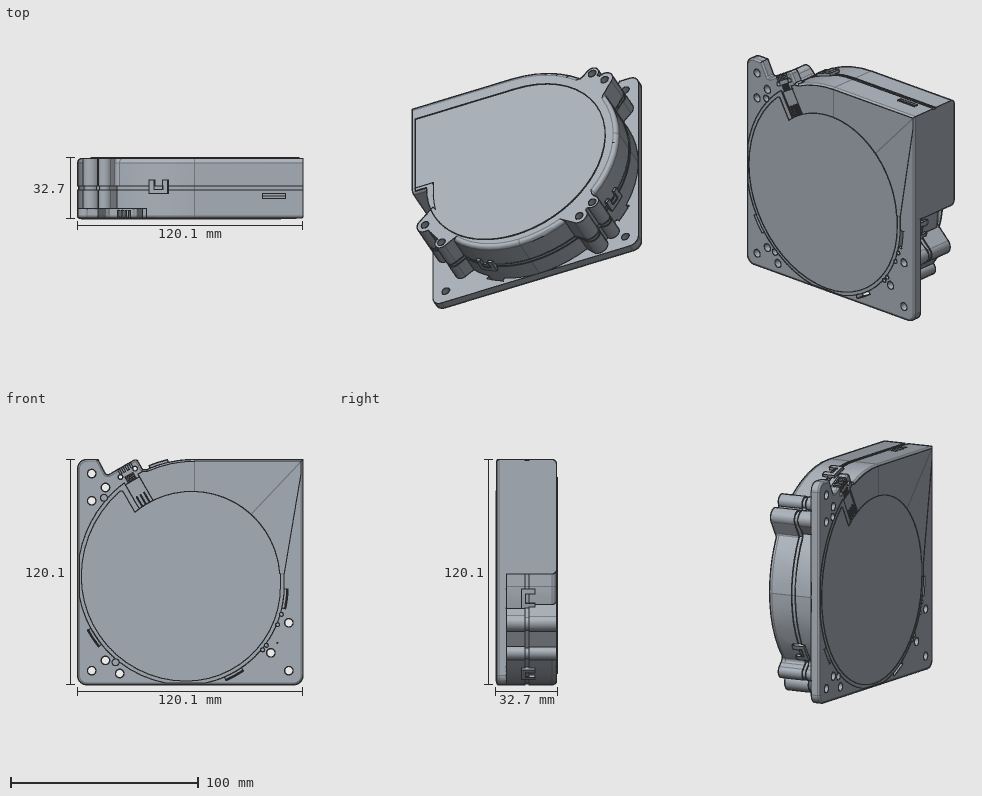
import cadquery as cq
import math

HALF = 60.065
DEPTH = 32.67

DISC_Y = 0.0
SCROLL_FRONT_Y = 0.2
FLANGE_FRONT_Y = 0.4
FLANGE_BACK_Y = 5.4
SEAM_FRONT_Y = 15.4
SEAM_BACK_Y = 17.6
BODY_BACK_Y = 32.2

FLANGE_CORNER_R = 5.0
FRONT_EDGE_R = 1.0
BACK_EDGE_R = 2.5
SEAM_DEPTH = 0.6

NOTCH_TOP_X = -49.2
NOTCH_LEFT_X = -45.0
NOTCH_Z = 52.0
NOTCH_R = 1.0
SHOULDER_Z = 54.6

SCROLL_SHIFT = 2.3
SCROLL_RIGHT_X = 50.0
R_TOP = HALF + SCROLL_SHIFT
R_LEFT = HALF - SCROLL_SHIFT
R_BOTTOM = SCROLL_RIGHT_X + SCROLL_SHIFT
C_TOP = (SCROLL_SHIFT, -SCROLL_SHIFT)
C_LEFT = (-SCROLL_SHIFT, -SCROLL_SHIFT)
C_BOTTOM = (-SCROLL_SHIFT, R_BOTTOM - HALF)
OUTLET_FLOOR_Z = -1.0

FACET_DROP = 0.15
FACET_RIGHT_Z = 53.0

DISC_INSET = 2.0
DISC_ARC_C = (0.8, -3.9)
DISC_ARC_R = 46.9
DISC_ARC_START = 4.0
DISC_ARC_MID = 60.0
LOBE_TIP_R = 1.2

PAD_C = (-0.75, -1.75)
PAD_R = 52.25
PAD_RIGHT_X = 58.0

BLOCK_C = (-33.3, 52.9)
BLOCK_ANGLE = 30.0
BLOCK_EDGE_V = 4.2
BLOCK_RIGHT_U = 7.7
BLOCK_CORNER_R = 1.5
BLOCK_INNER_V = -4.9
BLOCK_HOLE_U = 4.5
BLOCK_HOLE_D = 2.4
WIRE_COUNT = 4
WIRE_PITCH = 2.27
COMB_SLOT_W = 1.1
COMB_SLOT_DEPTH = 4.0
OUTER_COMB_V = 1.2
INNER_COMB_V = -1.2
INNER_COMB_PITCH = 1.4
INNER_COMB_SLOT_W = 0.7
INNER_COMB_DEPTH = 2.0
CHANNEL_HALF_W = 4.3
CHANNEL_DEPTH = 0.8
CHANNEL_END_V = -20.0
RIB_W = 0.5
RIB_OUTER_V = -13.4
LOBE_EDGE_U = -7.2

HOLE_D = 4.4
MOUNT_HALF = 52.5
PLAIN_HOLES = [(-MOUNT_HALF, MOUNT_HALF), (-MOUNT_HALF, -MOUNT_HALF), (MOUNT_HALF, -MOUNT_HALF)]
INNER_BOSS_R = 3.8
OUTER_BOSS_R = 4.7
WEB_LENGTH = 11.0
WEB_BACK_FLARE = 13.0
INNER_FOOT_R = 2.0
OUTER_FOOT_R = 0.8
UPPER_LEFT_PAIR = [(-45.2, 45.1), (-52.5, 38.0)]
LOWER_LEFT_PAIR = [(-45.2, -47.0), (-37.6, -54.0)]
LOWER_RIGHT_PAIR = [(42.9, -43.0), (52.5, -27.0)]
BOSS_PAIRS = [UPPER_LEFT_PAIR, LOWER_LEFT_PAIR, LOWER_RIGHT_PAIR]

PIN_HOLE_D = 3.7
PIN_HOLE_DEPTH = 4.0
PIN_HOLES = [(-46.0, 39.6), (-39.8, -48.0)]
DIMPLE_D = 2.1
DIMPLE_DEPTH = 2.0
DIMPLES = [(48.5, -22.5), (46.5, -28.0), (40.5, -39.0), (38.5, -41.4)]

CLIPS = [
    (C_TOP, R_TOP, 107.7),
    (C_LEFT, R_LEFT, 213.7),
    (C_BOTTOM, R_BOTTOM, -61.3),
    (C_BOTTOM, R_BOTTOM, -6.9),
]
CLIP_LENGTH = 10.2
CLIP_ARM_W = 2.7
CLIP_T = 1.5
CLIP_FRONT_Y = 13.4
CLIP_BAR_BACK_Y = 15.7
CLIP_BACK_Y = 20.7
CATCH_T = 0.9
CLIP_SLOT_W = 2.0
CLIP_ROOT = 1.0

POCKET_X = (38.5, 50.6)
POCKET_Y = (10.9, 13.6)
POCKET_DEPTHS = (2.0, 1.0)


def plane_at(y):
    return cq.Workplane("XZ", origin=(0, y, 0))


def slab(sketch, y_front, y_back):
    """Extrude a closed outline drawn on plane_at(y_front) back to y_back."""
    return sketch.extrude(y_front - y_back)


def cylinder(centre, radius, y_front, y_back):
    return slab(plane_at(y_front).moveTo(*centre).circle(radius), y_front, y_back)


def polar(centre, radius, degrees):
    angle = math.radians(degrees)
    return (centre[0] + radius * math.cos(angle), centre[1] + radius * math.sin(angle))


def sector(centre, r_in, r_out, a_start, a_end, y_front, y_back):
    a_mid = (a_start + a_end) / 2
    sketch = (
        plane_at(y_front)
        .moveTo(*polar(centre, r_in, a_start))
        .threePointArc(polar(centre, r_in, a_mid), polar(centre, r_in, a_end))
        .lineTo(*polar(centre, r_out, a_end))
        .threePointArc(polar(centre, r_out, a_mid), polar(centre, r_out, a_start))
        .close()
    )
    return slab(sketch, y_front, y_back)


def block_point(u, v):
    angle = math.radians(BLOCK_ANGLE)
    x = BLOCK_C[0] + u * math.cos(angle) - v * math.sin(angle)
    z = BLOCK_C[1] + u * math.sin(angle) + v * math.cos(angle)
    return (x, z)


def block_box(u0, u1, v0, v1, y_front, y_back):
    """Box aligned with the turned wire outlet block."""
    corners = [block_point(u, v) for u, v in ((u0, v0), (u1, v0), (u1, v1), (u0, v1))]
    return slab(plane_at(y_front).polyline(corners).close(), y_front, y_back)


def scroll_arcs(y, inset):
    """Scroll outline from its top round the left and bottom to its right side, left open."""
    r_top, r_left, r_bottom = (r - inset for r in (R_TOP, R_LEFT, R_BOTTOM))
    return (
        plane_at(y)
        .moveTo(*polar(C_TOP, r_top, 90))
        .threePointArc(polar(C_TOP, r_top, 135), polar(C_TOP, r_top, 180))
        .threePointArc(polar(C_LEFT, r_left, 225), polar(C_LEFT, r_left, 270))
        .threePointArc(polar(C_BOTTOM, r_bottom, -45), polar(C_BOTTOM, r_bottom, 0))
    )


def scroll_outline(y, inset=0.0):
    """Scroll with its outlet duct running to +X."""
    return (
        scroll_arcs(y, inset)
        .lineTo(SCROLL_RIGHT_X - inset, OUTLET_FLOOR_Z)
        .lineTo(HALF, OUTLET_FLOOR_Z)
        .lineTo(HALF, HALF - inset)
        .close()
    )


def block_point_at_height(z, u=None, v=None):
    """Point at height z on the block-frame line of constant u, or of constant v."""
    angle = math.radians(BLOCK_ANGLE)
    rise = z - BLOCK_C[1]
    if u is None:
        return block_point((rise - v * math.cos(angle)) / math.sin(angle), v)
    return block_point(u, (rise - u * math.sin(angle)) / math.cos(angle))


NOTCH_LEFT = (NOTCH_LEFT_X, NOTCH_Z)
NOTCH_RIGHT = block_point_at_height(NOTCH_Z, v=BLOCK_EDGE_V)
BLOCK_CORNER = block_point(BLOCK_RIGHT_U, BLOCK_EDGE_V)


def flange_outline(y):
    """Square flange with a notch and the wire outlet block along its top edge."""
    straight = HALF - FLANGE_CORNER_R
    diagonal = straight + FLANGE_CORNER_R * math.sqrt(0.5)
    shoulder_x = C_TOP[0] - math.sqrt(R_TOP**2 - (SHOULDER_Z - C_TOP[1]) ** 2)
    join_angle = math.degrees(math.atan2(SHOULDER_Z - C_TOP[1], shoulder_x - C_TOP[0]))
    outline = (
        plane_at(y)
        .moveTo(-HALF, -straight)
        .lineTo(-HALF, straight)
        .threePointArc((-diagonal, diagonal), (-straight, HALF))
        .lineTo(NOTCH_TOP_X, HALF)
        .lineTo(*NOTCH_LEFT)
        .lineTo(*NOTCH_RIGHT)
        .lineTo(*BLOCK_CORNER)
        .lineTo(*block_point_at_height(SHOULDER_Z, u=BLOCK_RIGHT_U))
        .lineTo(shoulder_x, SHOULDER_Z)
    )
    return (
        outline
        .threePointArc(polar(C_TOP, R_TOP, (join_angle + 90) / 2), polar(C_TOP, R_TOP, 90))
        .lineTo(HALF, HALF)
        .lineTo(HALF, -straight)
        .threePointArc((diagonal, -diagonal), (straight, -HALF))
        .lineTo(-straight, -HALF)
        .threePointArc((-diagonal, -diagonal), (-HALF, -straight))
        .close()
    )


def scroll_layer(y_front, y_back, inset=0.0):
    return slab(scroll_outline(y_front, inset), y_front, y_back)


def round_edge(part, point, y, radius):
    """Fillet the edge along Y that lies nearest to an XZ point at level y."""
    nearest = cq.selectors.NearestToPointSelector((point[0], y, point[1]))
    return part.edges("|Y").edges(nearest).fillet(radius)


def turned(vector, degrees):
    angle = math.radians(degrees)
    x, z = vector
    return (x * math.cos(angle) - z * math.sin(angle), x * math.sin(angle) + z * math.cos(angle))


def web_sides(pair, inset, flare):
    """Both sides of a web as (boss point, scroll end point), tangent to the small and large boss."""
    (px, pz), (qx, qz) = pair
    gap = math.hypot(px - qx, pz - qz)
    along = ((px - qx) / gap, (pz - qz) / gap)
    turn = 90 if along[1] * px - along[0] * pz > 0 else -90
    sides = []
    for (x, z), radius, sign, angle in (
        ((px, pz), INNER_BOSS_R, 1, 0.0),
        ((qx, qz), OUTER_BOSS_R, -1, math.copysign(flare, turn)),
    ):
        out_x, out_z = turned(along, angle)
        in_x, in_z = turned((out_x, out_z), turn)
        reach = sign * (radius - inset)
        near = (x + reach * out_x, z + reach * out_z)
        far = (near[0] + WEB_LENGTH * in_x, near[1] + WEB_LENGTH * in_z)
        sides.append((near, far))
    return sides


def boss_layer(y_front, y_back, inset=0.0, flare=0.0):
    """Pairs of round mounting bosses, each pair tied to the scroll by a web."""
    layer = cq.Workplane()
    for pair in BOSS_PAIRS:
        (near_p, far_p), (near_q, far_q) = web_sides(pair, inset, flare)
        web = plane_at(y_front).polyline([near_p, near_q, far_q, far_p]).close()
        layer = layer.union(slab(web, y_front, y_back))
        for centre, radius in zip(pair, (INNER_BOSS_R, OUTER_BOSS_R)):
            layer = layer.union(cylinder(centre, radius - inset, y_front, y_back))
    return layer


def flange_plate(y_front, y_back):
    """Flange with its notch and block corners rounded."""
    plate = slab(flange_outline(y_front), y_front, y_back)
    y_mid = (y_front + y_back) / 2
    for corner, radius in (
        (NOTCH_LEFT, NOTCH_R),
        (NOTCH_RIGHT, NOTCH_R),
        (BLOCK_CORNER, BLOCK_CORNER_R),
    ):
        plate = round_edge(plate, corner, y_mid, radius)
    return plate


def flange():
    return flange_plate(FLANGE_FRONT_Y, FLANGE_BACK_Y).faces("<Y").edges().fillet(FRONT_EDGE_R)


def round_foot(part, side, y, radius):
    """Fillet the corner where one side of a web runs into the scroll."""
    (near_x, near_z), (far_x, far_z) = side
    return round_edge(part, ((near_x + far_x) / 2, (near_z + far_z) / 2), y, radius)


def front_half():
    front = scroll_layer(FLANGE_BACK_Y, SEAM_FRONT_Y).union(boss_layer(FLANGE_BACK_Y, SEAM_FRONT_Y))
    inner_side = web_sides(LOWER_LEFT_PAIR, 0.0, 0.0)[0]
    return round_foot(front, inner_side, (FLANGE_BACK_Y + SEAM_FRONT_Y) / 2, INNER_FOOT_R)


def seam_band():
    """Recessed band between the two halves."""
    bosses = boss_layer(SEAM_FRONT_Y, SEAM_BACK_Y, SEAM_DEPTH, WEB_BACK_FLARE)
    return scroll_layer(SEAM_FRONT_Y, SEAM_BACK_Y, SEAM_DEPTH).union(bosses)


def back_half():
    """Back half with a rounded rear edge and rounded web feet on the left side."""
    back = scroll_layer(SEAM_BACK_Y, BODY_BACK_Y)
    back = back.faces(">Y").edges("not(>X or <Z)").fillet(BACK_EDGE_R)
    back = back.union(boss_layer(SEAM_BACK_Y, BODY_BACK_Y, 0.0, WEB_BACK_FLARE))
    y_mid = (SEAM_BACK_Y + BODY_BACK_Y) / 2
    upper_inner, upper_outer = web_sides(UPPER_LEFT_PAIR, 0.0, WEB_BACK_FLARE)
    lower_inner = web_sides(LOWER_LEFT_PAIR, 0.0, WEB_BACK_FLARE)[0]
    back = round_foot(back, upper_inner, y_mid, INNER_FOOT_R)
    back = round_foot(back, upper_outer, y_mid, OUTER_FOOT_R)
    return round_foot(back, lower_inner, y_mid, INNER_FOOT_R)


def housing():
    return front_half().union(seam_band()).union(back_half())


def back_pad():
    width = PAD_RIGHT_X - PAD_C[0]
    top_z = PAD_C[1] + PAD_R
    height = top_z - OUTLET_FLOOR_Z
    outlet = (
        plane_at(BODY_BACK_Y)
        .center(PAD_C[0] + width / 2, top_z - height / 2)
        .rect(width, height)
    )
    return cylinder(PAD_C, PAD_R, BODY_BACK_Y, DEPTH).union(slab(outlet, BODY_BACK_Y, DEPTH))


def outlet_facets():
    """Cutter that lowers the raised front in two flat facets toward the upper right corner."""
    start_x, start_z = C_TOP[0], OUTLET_FLOOR_Z
    low_y = SCROLL_FRONT_Y + FACET_DROP
    across = (
        cq.Workplane("XY", origin=(0, 0, start_z))
        .polyline([(start_x, SCROLL_FRONT_Y), (HALF, SCROLL_FRONT_Y), (HALF, low_y)])
        .close()
        .extrude(HALF - start_z)
    )
    upward = (
        cq.Workplane("YZ", origin=(start_x, 0, 0))
        .polyline([(SCROLL_FRONT_Y, start_z), (SCROLL_FRONT_Y, HALF), (low_y, HALF)])
        .close()
        .extrude(HALF - start_x)
    )
    return across.intersect(upward)


def raised_scroll_front():
    """Slightly raised scroll area, running out to the upper right corner."""
    edge_x = HALF - FRONT_EDGE_R
    face = slab(
        scroll_arcs(SCROLL_FRONT_Y, 0.0)
        .lineTo(SCROLL_RIGHT_X, OUTLET_FLOOR_Z)
        .lineTo(edge_x, FACET_RIGHT_Z)
        .lineTo(edge_x, HALF)
        .close(),
        SCROLL_FRONT_Y,
        FLANGE_FRONT_Y,
    )
    flat = slab(flange_outline(SCROLL_FRONT_Y).offset2D(-FRONT_EDGE_R), SCROLL_FRONT_Y, FLANGE_FRONT_Y)
    block = block_box(
        -CHANNEL_HALF_W, CHANNEL_HALF_W, BLOCK_INNER_V, 2 * BLOCK_EDGE_V, SCROLL_FRONT_Y, FLANGE_FRONT_Y
    )
    return face.intersect(flat).cut(block).cut(outlet_facets())


def v_on_circle(u, centre, radius):
    """Outer v at which the block-frame line of constant u meets a circle."""
    angle = math.radians(BLOCK_ANGLE)
    dx, dz = centre[0] - BLOCK_C[0], centre[1] - BLOCK_C[1]
    cu = dx * math.cos(angle) + dz * math.sin(angle)
    cv = dz * math.cos(angle) - dx * math.sin(angle)
    return cv + math.sqrt(radius**2 - (u - cu) ** 2)


def front_disc():
    """Raised disc: inset scroll arcs closed by the impeller circle and a lobe beside the wires."""
    r_top, r_left, r_bottom = (r - DISC_INSET for r in (R_TOP, R_LEFT, R_BOTTOM))
    lobe_tip = block_point(LOBE_EDGE_U, v_on_circle(LOBE_EDGE_U, C_TOP, r_top))
    lobe_root = block_point(LOBE_EDGE_U, v_on_circle(LOBE_EDGE_U, DISC_ARC_C, DISC_ARC_R))
    tip_angle = math.degrees(math.atan2(lobe_tip[1] - C_TOP[1], lobe_tip[0] - C_TOP[0]))
    right_x = C_BOTTOM[0] + r_bottom
    disc = slab(
        plane_at(DISC_Y)
        .moveTo(*lobe_tip)
        .threePointArc(polar(C_TOP, r_top, (tip_angle + 180) / 2), polar(C_TOP, r_top, 180))
        .threePointArc(polar(C_LEFT, r_left, 225), polar(C_LEFT, r_left, 270))
        .threePointArc(polar(C_BOTTOM, r_bottom, -45), (right_x, C_BOTTOM[1]))
        .lineTo(right_x, OUTLET_FLOOR_Z)
        .lineTo(*polar(DISC_ARC_C, DISC_ARC_R, DISC_ARC_START))
        .threePointArc(polar(DISC_ARC_C, DISC_ARC_R, DISC_ARC_MID), lobe_root)
        .close(),
        DISC_Y,
        FLANGE_FRONT_Y,
    )
    return round_edge(disc, lobe_tip, (DISC_Y + FLANGE_FRONT_Y) / 2, LOBE_TIP_R)


def comb(count, pitch, slot_width, v_in, v_out, depth):
    """Evenly spaced slots across the wire outlet block, open to the front."""
    slots = cq.Workplane()
    for i in range(count):
        u = (i - (count - 1) / 2) * pitch
        slots = slots.union(
            block_box(u - slot_width / 2, u + slot_width / 2, v_in, v_out, DISC_Y, FLANGE_FRONT_Y + depth)
        )
    return slots


def wire_channel():
    """Shallow channel from the block to the disc, with low ribs between the wires."""
    floor_y = SCROLL_FRONT_Y + CHANNEL_DEPTH
    channel = block_box(
        -CHANNEL_HALF_W, CHANNEL_HALF_W, CHANNEL_END_V, BLOCK_INNER_V, DISC_Y, floor_y
    )
    ribs = WIRE_COUNT - 1
    for i in range(ribs):
        u = (i - (ribs - 1) / 2) * WIRE_PITCH
        channel = channel.cut(
            block_box(u - RIB_W / 2, u + RIB_W / 2, CHANNEL_END_V, RIB_OUTER_V, SCROLL_FRONT_Y, floor_y)
        )
    return channel.cut(cylinder(DISC_ARC_C, DISC_ARC_R, DISC_Y, floor_y))


def block_holes():
    holes = cq.Workplane()
    for u in (-BLOCK_HOLE_U, BLOCK_HOLE_U):
        holes = holes.union(cylinder(block_point(u, 0), BLOCK_HOLE_D / 2, DISC_Y, FLANGE_BACK_Y))
    return holes


def clip(centre, radius, angle):
    """U-shaped snap clip standing off the scroll wall, with its catch between the arms."""
    def swept(half_length, r_out, y_front, y_back, offset=0.0):
        mid = angle + math.degrees(offset / radius)
        half = math.degrees(half_length / radius)
        return sector(centre, radius - CLIP_ROOT, r_out, mid - half, mid + half, y_front, y_back)

    outer = radius + CLIP_T
    arm_offset = (CLIP_LENGTH - CLIP_ARM_W) / 2
    catch_half = CLIP_LENGTH / 2 - CLIP_ARM_W
    shape = swept(CLIP_LENGTH / 2, outer, CLIP_FRONT_Y, CLIP_BAR_BACK_Y)
    for side in (-1, 1):
        arm = swept(CLIP_ARM_W / 2, outer, CLIP_BAR_BACK_Y, CLIP_BACK_Y, side * arm_offset)
        shape = shape.union(arm)
    return shape.union(swept(catch_half, radius + CATCH_T, CLIP_BAR_BACK_Y, SEAM_BACK_Y))


def clip_slot(centre, radius, angle):
    """Moulding slot through the flange in front of a clip."""
    half = math.degrees(CLIP_LENGTH / 2 / radius)
    return sector(
        centre, radius, radius + CLIP_SLOT_W, angle - half, angle + half, DISC_Y, FLANGE_BACK_Y
    )


def top_pocket():
    """Pocket in the top wall, deeper along its front half."""
    y_mid = sum(POCKET_Y) / 2
    pocket = cq.Workplane()
    spans = ((POCKET_Y[0], y_mid), (y_mid, POCKET_Y[1]))
    for (y_front, y_back), depth in zip(spans, POCKET_DEPTHS):
        cutter = cq.Workplane().box(
            POCKET_X[1] - POCKET_X[0], y_back - y_front, depth, centered=False
        )
        pocket = pocket.union(cutter.translate((POCKET_X[0], y_front, HALF - depth)))
    return pocket


def drill(part, centres, diameter, depth):
    for centre in centres:
        part = part.cut(cylinder(centre, diameter / 2, DISC_Y, depth))
    return part


def blower():
    part = flange().union(housing()).union(back_pad())
    part = part.union(raised_scroll_front()).union(front_disc())
    for place in CLIPS:
        part = part.cut(clip_slot(*place))
    for place in CLIPS:
        part = part.union(clip(*place))
    through_holes = PLAIN_HOLES + [hole for pair in BOSS_PAIRS for hole in pair]
    part = drill(part, through_holes, HOLE_D, DEPTH)
    part = drill(part, PIN_HOLES, PIN_HOLE_D, FLANGE_FRONT_Y + PIN_HOLE_DEPTH)
    part = drill(part, DIMPLES, DIMPLE_D, FLANGE_FRONT_Y + DIMPLE_DEPTH)
    part = part.cut(block_holes()).cut(wire_channel()).cut(top_pocket())
    part = part.cut(
        comb(WIRE_COUNT, WIRE_PITCH, COMB_SLOT_W, OUTER_COMB_V, 2 * BLOCK_EDGE_V, COMB_SLOT_DEPTH)
    )
    return part.cut(
        comb(WIRE_COUNT, INNER_COMB_PITCH, INNER_COMB_SLOT_W, BLOCK_INNER_V, INNER_COMB_V, INNER_COMB_DEPTH)
    )


result = blower()